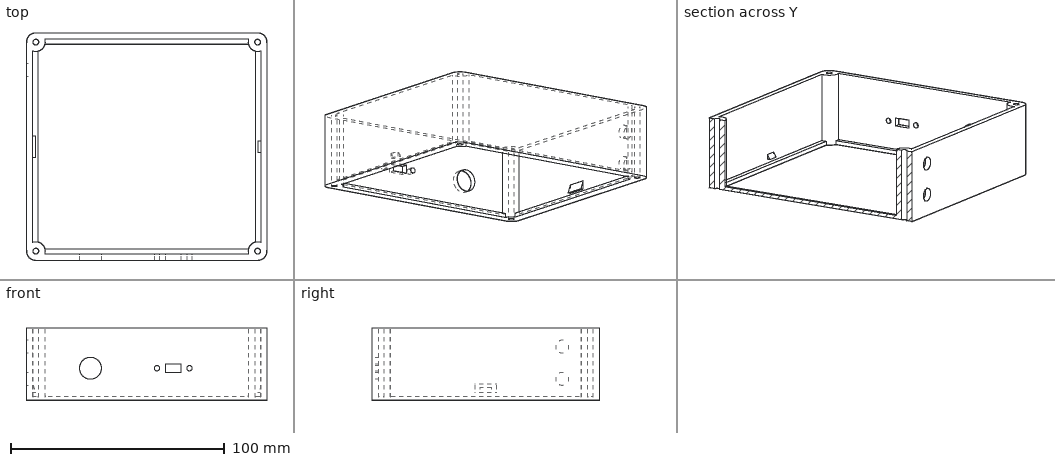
import cadquery as cq

length = 112.5
width = 106.5
height = 34.0
corner_radius = 5.0
side_wall = 2.9
end_wall = 3.0
rim = 5.4
ledge_height = 1.9

post_inset = 4.4
post_radius = 4.4
screw_hole = 2.6

front_row_z = 15.1
jack_hole = 10.2
jack_x = -26.3
switch_x = 12.4
switch_length = 7.4
switch_height = 3.8
switch_screw_hole = 2.5
switch_screw_spacing = 15.2

cable_hole = 6.1
cable_y = 35.8
cable_z_low = 10.1
cable_spacing = 15.1

catch_gap = 1.8
catch_depth = 1.4
left_catch_length = 10.0
left_catch_height = 4.0
right_catch_length = 5.4
right_catch_height = 2.2

cut_depth = 3 * end_wall


def frame():
    """Rounded rectangular ring with a narrow ledge around the bottom."""
    block = cq.Workplane("XY").box(length, width, height, centered=(True, True, False))
    block = block.edges("|Z").fillet(corner_radius)
    opening = cq.Workplane("XY").rect(length - 2 * rim, width - 2 * rim).extrude(height)
    cavity = (
        cq.Workplane("XY")
        .workplane(offset=ledge_height)
        .rect(length - 2 * side_wall, width - 2 * end_wall)
        .extrude(height)
    )
    return block.cut(opening).cut(cavity)


def at_corners(diameter):
    """Full-height cylinders on the four screw axes."""
    return (
        cq.Workplane("XY")
        .rect(length - 2 * post_inset, width - 2 * post_inset, forConstruction=True)
        .vertices()
        .circle(diameter / 2)
        .extrude(height)
    )


def front_openings():
    """Jack hole, switch window and the two switch screw holes."""
    outside = cq.Workplane("XZ", origin=(0, -width / 2 + cut_depth / 2, front_row_z))
    jack = outside.center(jack_x, 0).circle(jack_hole / 2).extrude(cut_depth)
    switch = outside.center(switch_x, 0)
    window = switch.rect(switch_length, switch_height).extrude(cut_depth)
    offset = switch_screw_spacing / 2
    screws = switch.pushPoints([(-offset, 0), (offset, 0)])
    screws = screws.circle(switch_screw_hole / 2).extrude(cut_depth)
    return jack.union(window).union(screws)


def cable_openings():
    """Two cable holes, one above the other."""
    outside = cq.Workplane("YZ", origin=(-length / 2 - cut_depth / 2, cable_y, cable_z_low))
    holes = outside.pushPoints([(0, 0), (0, cable_spacing)])
    return holes.circle(cable_hole / 2).extrude(cut_depth)


def snap_catch(wall_x, inward, catch_length, catch_height):
    """Wedge with a flat underside and a top sloping out from the wall; inward is +1 or -1 along X."""
    return (
        cq.Workplane("XZ", origin=(wall_x, catch_length / 2, ledge_height + catch_gap))
        .polyline([(0, 0), (inward * catch_depth, 0), (0, catch_height)])
        .close()
        .extrude(catch_length)
    )


inner_x = length / 2 - side_wall
left_catch = snap_catch(-inner_x, 1, left_catch_length, left_catch_height)
right_catch = snap_catch(inner_x, -1, right_catch_length, right_catch_height)
posts = at_corners(2 * post_radius)
result = frame().union(posts).union(left_catch).union(right_catch)
result = result.cut(at_corners(screw_hole)).cut(front_openings()).cut(cable_openings())